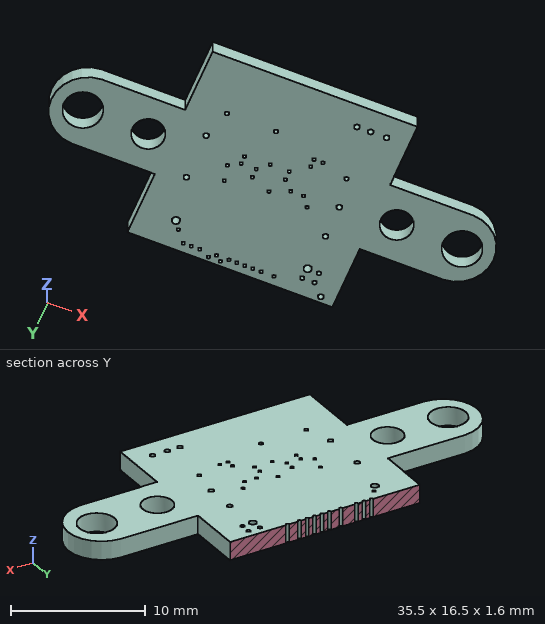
import cadquery as cq
import math

length = 35.55
body_side = 16.5
thickness = 1.6

tab_width = 5.85
tab_end_depth = 2.85
facets_per_end = 12

outer_hole_diameter = 3.02
outer_hole_x = 15.25
inner_hole_diameter = 2.52
inner_hole_x = 10.0

locating_hole_diameter = 0.6
locating_hole_x = 5.3
locating_hole_y = 5.95

large_pad_diameter = 0.43
bottom_row_y = -6.5
left_pad_x = -5.97
right_pad_x = 5.48
large_pad_points = [
    (7.1, 7.75),
    (left_pad_x, 2.28), (left_pad_x, -1.53),
    (right_pad_x, 2.9), (right_pad_x, 0.25),
    (4.1, bottom_row_y), (5.2, bottom_row_y), (6.47, bottom_row_y),
]

small_pad_diameter = 0.32
small_pad_points = [
    (5.23, 6.83), (6.22, 6.83), (6.22, 5.97),
    (5.05, -2.17),
    (-5.25, -3.85), (-1.3, -3.85),
]

via_diameter = 0.25
edge_row_y = 7.5
edge_row_x = [-4.05, -3.4, -2.75, -1.4, -0.4, 0.25, 0.9, 1.53, 2.2, 3.25]
scattered_via_points = [
    (-1.9, 7.85), (-0.92, 7.85), (-4.85, 6.58),
    (-3.27, 1.45), (-3.55, 0.18), (-2.65, -0.35), (-2.65, -1.0),
    (0.15, 1.03), (-1.45, 0.4), (-1.45, -0.35), (-0.65, -1.1),
    (3.27, 1.17), (1.65, 0.4), (2.65, 0.4), (0.9, -0.35), (0.9, -1.1),
    (2.2, -2.1), (2.2, -2.75), (2.9, -2.75),
]


def faceted_end():
    """Corner points of the +X tab end, from its -Y side to its +Y side."""
    half_width = tab_width / 2
    radius = (half_width**2 + tab_end_depth**2) / (2 * tab_end_depth)
    centre_x = length / 2 - radius
    half_angle = math.asin(half_width / radius)
    facet_angle = 2 * half_angle / facets_per_end
    points = []
    for corner in range(facets_per_end + 1):
        angle = -half_angle + corner * facet_angle
        points.append((centre_x + radius * math.cos(angle), radius * math.sin(angle)))
    return points


def mirrored_pair(x, y):
    """Two points placed symmetrically about the YZ plane."""
    return [(-x, y), (x, y)]


def drill(board, points, diameter):
    """Cut a round through hole of one diameter at each point."""
    drills = cq.Workplane("XY").pushPoints(points).circle(diameter / 2).extrude(thickness)
    return board.cut(drills)


body = cq.Workplane("XY").rect(body_side, body_side).extrude(thickness)
right_end = faceted_end()
left_end = [(-x, -y) for x, y in right_end]
tabs = cq.Workplane("XY").polyline(right_end + left_end).close().extrude(thickness)
board = body.union(tabs)

board = drill(board, mirrored_pair(outer_hole_x, 0), outer_hole_diameter)
board = drill(board, mirrored_pair(inner_hole_x, 0), inner_hole_diameter)
board = drill(board, mirrored_pair(locating_hole_x, locating_hole_y), locating_hole_diameter)
board = drill(board, large_pad_points, large_pad_diameter)
board = drill(board, small_pad_points, small_pad_diameter)
board = drill(board, [(x, edge_row_y) for x in edge_row_x], via_diameter)
result = drill(board, scattered_via_points, via_diameter)